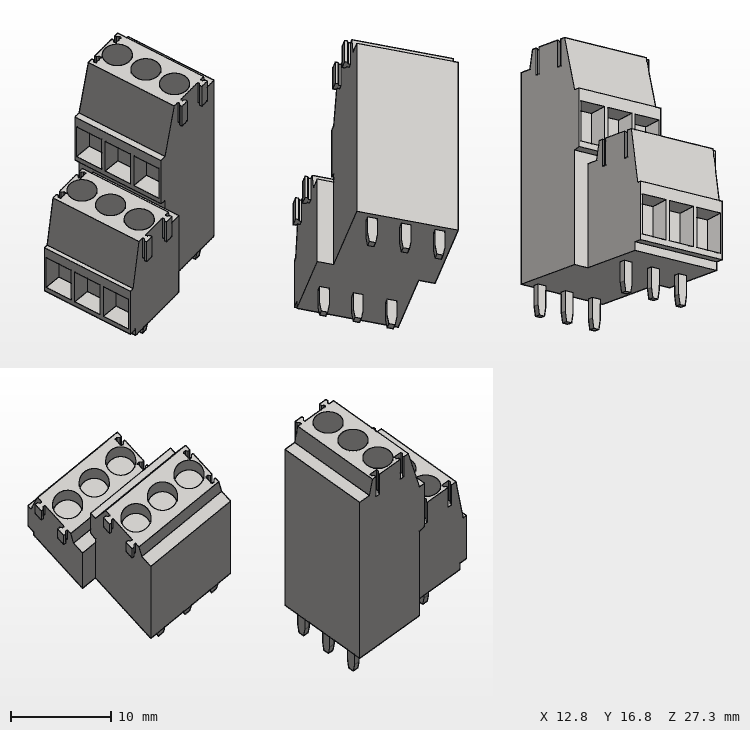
import cadquery as cq


POLES = 3
PITCH = 3.5
EDGE_TO_FIRST_POLE = 1.75

TIER_WIDTH = 10.5
LOWER_OFFSET = 1.7
UPPER_TOP = 24.1
LOWER_TOP = 12.85
UPPER_DEPTH = 8.44
LOWER_DEPTH = 8.33

SHOULDER_DEPTH = 1.36
SHOULDER_DROP = 2.0
ROOF_BACK = 1.8
ROOF_FRONT = 6.85
SLOPE_DROP = 5.85

UPPER_OVERHANG = 0.7
UPPER_LIP_OUTER = 12.15
UPPER_LIP_INNER = 11.95
LOWER_SLOPE_FOOT = 7.85
LOWER_STEP = 0.9

SCREW_DIAMETER = 3.0
SCREW_DEPTH = 3.0
SCREW_FROM_BACK = 4.3

FUNNEL_WIDTH = 3.05
FUNNEL_HEIGHT = 4.2
FUNNEL_INSET = 0.45
FUNNEL_DEPTH = 1.55
FUNNEL_BELOW_LEDGE = 1.28

KEY_FROM_BACK = (2.57, 5.98)
KEY_HEIGHT = 2.8
KEY_NECK_LENGTH = 0.22
KEY_HEAD_START = 0.38
KEY_LENGTH = 0.65
KEY_NECK_WIDTH = 0.5
KEY_HEAD_WIDTH = 0.93

PIN_WIDTH = 1.0
PIN_THICKNESS = 0.65
PIN_LENGTH = 3.2
PIN_TIP_LENGTH = 1.05
PIN_TIP_WIDTH = 0.65
UPPER_PIN_FROM_BACK = 0.85
LOWER_PIN_FROM_BACK = 3.9


def pole_positions(left):
    """X of the poles of a tier whose left side is at `left`."""
    return [left + EDGE_TO_FIRST_POLE + pole * PITCH for pole in range(POLES)]


def tier_block(left, back, top, slope_foot, front, base_front, lip_outer, lip_inner):
    """Solid tier; slope_foot, front and base_front are distances from its back."""
    ledge = top - SLOPE_DROP
    shoulder = top - SHOULDER_DROP
    outline = [
        (0, 0),
        (0, shoulder),
        (SHOULDER_DEPTH, shoulder),
        (ROOF_BACK, top),
        (ROOF_FRONT, top),
        (slope_foot, ledge),
        (front, ledge),
        (front, lip_outer),
        (base_front, lip_inner),
        (base_front, 0),
    ]
    points = [(back - depth, height) for depth, height in outline]
    return cq.Workplane("YZ").workplane(offset=left).polyline(points).close().extrude(TIER_WIDTH)


def screw_hole(x, back, top):
    """Blind round hole for a screwdriver."""
    return (
        cq.Workplane("XY")
        .workplane(offset=top)
        .center(x, back - SCREW_FROM_BACK)
        .circle(SCREW_DIAMETER / 2)
        .extrude(-SCREW_DEPTH)
    )


def wire_funnel(x, front_y, top):
    """Rectangular wire entry that narrows evenly toward its flat bottom."""
    funnel_top = top - SLOPE_DROP - FUNNEL_BELOW_LEDGE
    center_z = funnel_top - FUNNEL_HEIGHT / 2
    return (
        cq.Workplane("XZ", origin=(x, front_y, center_z))
        .rect(FUNNEL_WIDTH, FUNNEL_HEIGHT)
        .workplane(offset=-FUNNEL_DEPTH)
        .rect(FUNNEL_WIDTH - 2 * FUNNEL_INSET, FUNNEL_HEIGHT - 2 * FUNNEL_INSET)
        .loft(ruled=True)
    )


def key(side_x, y, top):
    """Flared key standing to the right of side_x; also the shape of its slot."""
    neck = KEY_NECK_WIDTH / 2
    head = KEY_HEAD_WIDTH / 2
    outline = [
        (0, -neck),
        (KEY_NECK_LENGTH, -neck),
        (KEY_HEAD_START, -head),
        (KEY_LENGTH, -head),
        (KEY_LENGTH, head),
        (KEY_HEAD_START, head),
        (KEY_NECK_LENGTH, neck),
        (0, neck),
    ]
    return cq.Workplane("XY", origin=(side_x, y, top)).polyline(outline).close().extrude(-KEY_HEIGHT)


def detail_tier(body, left, back, top, front_y):
    """Cut the holes, funnels and slots of one tier and add its keys."""
    for x in pole_positions(left):
        body = body.cut(screw_hole(x, back, top))
        body = body.cut(wire_funnel(x, front_y, top))
    for distance in KEY_FROM_BACK:
        y = back - distance
        body = body.cut(key(left, y, top))
        body = body.union(key(left + TIER_WIDTH, y, top))
    return body


def make_housing():
    """Both tiers as one solid."""
    upper_front = UPPER_DEPTH + UPPER_OVERHANG
    upper = tier_block(
        left=0,
        back=UPPER_DEPTH,
        top=UPPER_TOP,
        slope_foot=UPPER_DEPTH,
        front=upper_front,
        base_front=UPPER_DEPTH,
        lip_outer=UPPER_LIP_OUTER,
        lip_inner=UPPER_LIP_INNER,
    )
    lower = tier_block(
        left=LOWER_OFFSET,
        back=0,
        top=LOWER_TOP,
        slope_foot=LOWER_SLOPE_FOOT,
        front=LOWER_DEPTH,
        base_front=LOWER_DEPTH - LOWER_STEP,
        lip_outer=LOWER_STEP,
        lip_inner=LOWER_STEP,
    )
    body = upper.union(lower)
    body = detail_tier(body, 0, UPPER_DEPTH, UPPER_TOP, -UPPER_OVERHANG)
    return detail_tier(body, LOWER_OFFSET, 0, LOWER_TOP, -LOWER_DEPTH)


def make_pin(x, y):
    """Flat solder pin under the housing, tapered in width at its tip."""
    outline = [
        (-PIN_WIDTH / 2, 0),
        (PIN_WIDTH / 2, 0),
        (PIN_WIDTH / 2, PIN_TIP_LENGTH - PIN_LENGTH),
        (PIN_TIP_WIDTH / 2, -PIN_LENGTH),
        (-PIN_TIP_WIDTH / 2, -PIN_LENGTH),
        (-PIN_WIDTH / 2, PIN_TIP_LENGTH - PIN_LENGTH),
    ]
    return (
        cq.Workplane("XZ", origin=(x, y + PIN_THICKNESS / 2, 0))
        .polyline(outline)
        .close()
        .extrude(PIN_THICKNESS)
    )


housing = make_housing().solids()

upper_pins = [make_pin(x, UPPER_DEPTH - UPPER_PIN_FROM_BACK) for x in pole_positions(0)]
lower_pins = [make_pin(x, -LOWER_PIN_FROM_BACK) for x in pole_positions(LOWER_OFFSET)]

result = cq.Compound.makeCompound([housing.val(), *[pin.val() for pin in upper_pins + lower_pins]])